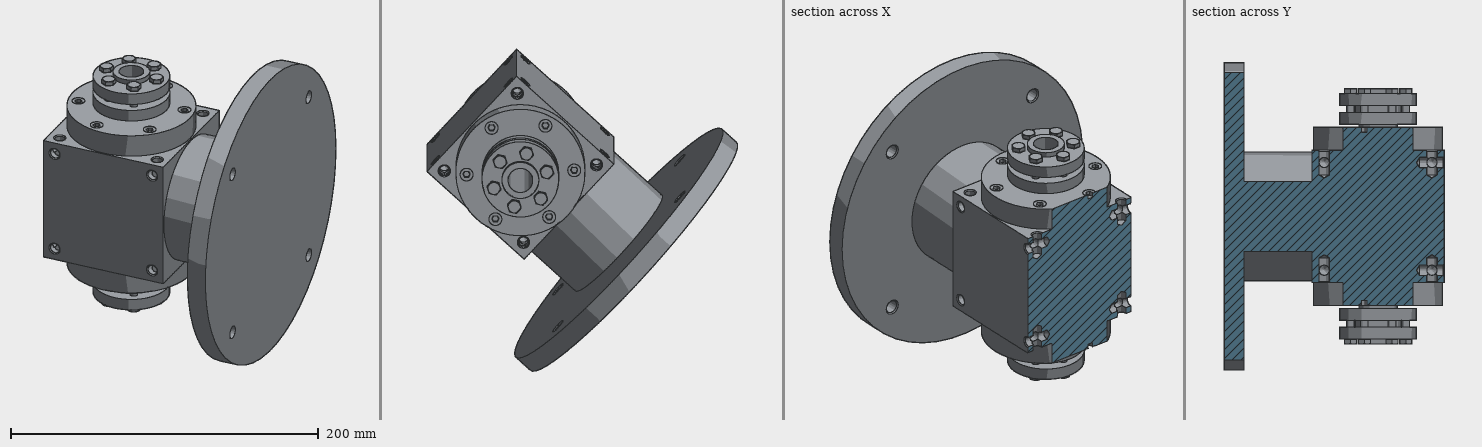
import cadquery as cq
import math


cube_side = 86.0
half_cube = cube_side / 2
cover_diameter = 84.0
cover_top = 58.0
neck_diameter = 84.0
flange_diameter = 200.0
flange_thickness = 13.0
flange_back = 100.0
flange_front = flange_back - flange_thickness

chamfer_angle = 45.0
hexagon_sides = 6
hexagon_half_side_angle = 180 / hexagon_sides

corner_hole_offset = 35.0
corner_hole_diameter = 6.5
corner_hole_mouth = 8.0
corner_hole_depth = 16.0
drill_tip_angle = 118.0

flange_hole_circle = 165.0
flange_hole_diameter = 8.5
flange_hole_mouth = 10.0
flange_hole_count = 4
flange_hole_first_angle = 45.0

screw_circle = 70.0
screw_count = 6
screw_first_angle = 15.0
screw_head_diameter = 8.5
screw_recess = 0.2
screw_socket_flats = 4.0
screw_socket_depth = 3.0

shaft_diameter = 25.0
shaft_end_diameter = 24.0
shaft_bore = 16.0
shaft_half_length = 83.0

disc_diameter = 50.0
disc_hub_diameter = 30.0
disc_bottom = 59.8
disc_ring_thickness = 7.8
disc_gap = 4.5
disc_top = disc_bottom + 2 * disc_ring_thickness + disc_gap
bolt_circle = 36.0
bolt_count = 6
bolt_diameter = 5.0
bolt_head_flats = 8.0
bolt_head_chamfer_angle = 30.0
bolt_washer_diameter = 7.2
bolt_washer_height = 0.2


def cylinder(diameter, bottom, top):
    """Cylinder on the Z axis between two heights."""
    return cq.Workplane("XY").workplane(offset=bottom).circle(diameter / 2).extrude(top - bottom)


def hexagon(flats, bottom, top):
    """Hexagonal prism on the Z axis with two corners on the X axis."""
    across_corners = flats / math.cos(math.radians(hexagon_half_side_angle))
    base = cq.Workplane("XY").workplane(offset=bottom)
    return base.polygon(hexagon_sides, across_corners).extrude(top - bottom)


def polar_places(circle_diameter, count, first_angle):
    """Evenly spaced points on a circle about the origin."""
    angles = [math.radians(first_angle + 360 * i / count) for i in range(count)]
    radius = circle_diameter / 2
    return [(radius * math.cos(a), radius * math.sin(a)) for a in angles]


def corner_drill():
    """Cutter for one corner hole: chamfered mouth at Z = 0, drill tip pointing to -Z."""
    radius = corner_hole_diameter / 2
    mouth_radius = corner_hole_mouth / 2
    chamfer = mouth_radius - radius
    tip = radius / math.tan(math.radians(drill_tip_angle / 2))
    profile = [
        (0, 0),
        (mouth_radius, 0),
        (radius, -chamfer),
        (radius, -corner_hole_depth),
        (0, -corner_hole_depth - tip),
    ]
    return cq.Workplane("XZ").polyline(profile).close().revolve(360, (0, 0, 0), (0, 1, 0))


def cut_corner_holes(body):
    """Four blind holes in each face of the cube except the one that carries the neck."""
    drill = corner_drill()
    top_drills = cq.Workplane("XY")
    for x in (-corner_hole_offset, corner_hole_offset):
        for y in (-corner_hole_offset, corner_hole_offset):
            top_drills.add(drill.translate((x, y, half_cube)))
    face_drills = top_drills.combine()
    for angle in (0, 90, 180, 270):
        body = body.cut(face_drills.rotate((0, 0, 0), (1, 0, 0), angle))
    return body.cut(face_drills.rotate((0, 0, 0), (0, 1, 0), -90))


def cut_cover_screws(body):
    """Screw heads in both covers: a shallow round recess with a hexagon socket."""
    face = cover_top - screw_recess
    head = cylinder(screw_head_diameter, face, cover_top)
    socket = hexagon(screw_socket_flats, face - screw_socket_depth, face)
    screw = head.union(socket)
    first_screw = screw.translate((screw_circle / 2, 0, 0))
    for i in range(screw_count):
        angle = screw_first_angle + 360 * i / screw_count
        placed = first_screw.rotate((0, 0, 0), (0, 0, 1), angle)
        body = body.cut(placed).cut(placed.mirror("XY"))
    return body


def cut_flange_holes(body):
    """Through holes with a chamfered mouth on the side facing the cube."""
    chamfer = (flange_hole_mouth - flange_hole_diameter) / 2
    places = polar_places(flange_hole_circle, flange_hole_count, flange_hole_first_angle)
    front = cq.Workplane("YZ").workplane(offset=flange_front)
    holes = front.pushPoints(places).circle(flange_hole_diameter / 2).extrude(flange_thickness)
    mouths = front.pushPoints(places).circle(flange_hole_mouth / 2).extrude(chamfer, taper=chamfer_angle)
    return body.cut(holes).cut(mouths)


def make_housing():
    """Cube with two round covers, the neck and the flange, bored for the shaft."""
    body = cq.Workplane("XY").box(cube_side, cube_side, cube_side)
    body = body.union(cylinder(cover_diameter, -cover_top, cover_top))
    neck = cq.Workplane("YZ").circle(neck_diameter / 2).extrude(flange_front)
    flange = cq.Workplane("YZ").workplane(offset=flange_front)
    flange = flange.circle(flange_diameter / 2).extrude(flange_thickness)
    body = body.union(neck).union(flange)
    body = body.cut(cylinder(shaft_diameter, -cover_top, cover_top))
    body = cut_corner_holes(body)
    body = cut_cover_screws(body)
    return cut_flange_holes(body)


def make_shaft():
    """Hollow shaft whose ends are turned down to carry the shrink discs."""
    shaft = cylinder(shaft_diameter, -disc_bottom, disc_bottom)
    shaft = shaft.union(cylinder(shaft_end_diameter, -shaft_half_length, shaft_half_length))
    return shaft.cut(cylinder(shaft_bore, -shaft_half_length, shaft_half_length))


def make_bolt_head():
    """Hexagon head with two flats facing +X and -X, coned top corners and a washer face below."""
    head_bottom = disc_top + bolt_washer_height
    head = hexagon(bolt_head_flats, head_bottom, shaft_half_length)
    head = head.rotate((0, 0, 0), (0, 0, 1), hexagon_half_side_angle)
    flat_radius = bolt_head_flats / 2
    height = shaft_half_length - disc_top
    slope = math.tan(math.radians(bolt_head_chamfer_angle))
    profile = [
        (0, disc_top),
        (flat_radius + height / slope, disc_top),
        (flat_radius, shaft_half_length),
        (0, shaft_half_length),
    ]
    cone = cq.Workplane("XZ").polyline(profile).close().revolve(360, (0, 0, 0), (0, 1, 0))
    washer = cylinder(bolt_washer_diameter, disc_top, head_bottom)
    return head.intersect(cone).union(washer)


def make_shrink_disc():
    """Upper shrink disc: two rings on a hub, clamped by six hexagon bolts."""
    disc = cylinder(disc_hub_diameter, disc_bottom, disc_top)
    disc = disc.union(cylinder(disc_diameter, disc_bottom, disc_bottom + disc_ring_thickness))
    disc = disc.union(cylinder(disc_diameter, disc_top - disc_ring_thickness, disc_top))
    bolt = cylinder(bolt_diameter, disc_bottom, disc_top).union(make_bolt_head())
    for x, y in polar_places(bolt_circle, bolt_count, 0):
        disc = disc.union(bolt.translate((x, y, 0)))
    return disc.cut(cylinder(shaft_end_diameter, disc_bottom, disc_top))


housing = make_housing()
shaft = make_shaft()
upper_disc = make_shrink_disc()
shrink_discs = [upper_disc, upper_disc.mirror("XY")]

result = cq.Compound.makeCompound([housing.val(), shaft.val(), *[disc.val() for disc in shrink_discs]])